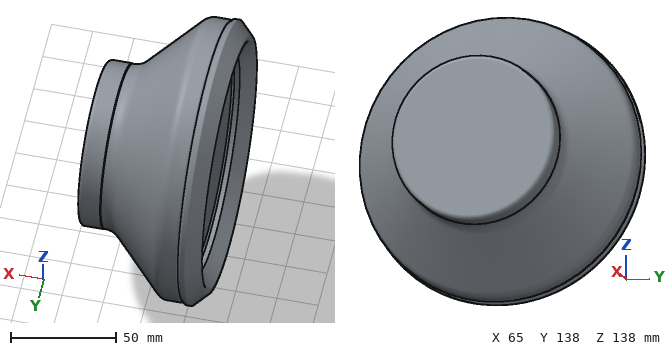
import cadquery as cq
import math


ring_radius = 69.0
ring_front_bevel = 6.6
ring_lip_width = 2.3
ring_inner_bevel = 6.5
ring_land_end = 8.8
ring_depth = 10.2
ring_back_bevel = ring_depth - ring_land_end
ring_edge_round = 0.7
ring_inner_foot = 1.1

housing_end = 65.0
rim_radius = 136.5 / 2
rim_front_fillet = 1.0
rim_end = 17.8
shoulder_radius = 6.6
neck_radius = 79.6 / 2
neck_arc_end = 53.1
step_start = 53.5
collar_start = 54.0
collar_radius = 80.0 / 2
collar_fillet = 2.1
cone_angle = math.radians(45)


def revolve_about_x(profile):
    """Turn a closed XY profile a full turn about the X axis."""
    return profile.close().revolve(360, (0, 0, 0), (1, 0, 0))


def arc_point(center_x, center_r, radius, angle):
    """Point on an arc, with the angle measured from the outward radial direction toward +X."""
    return (center_x + radius * math.sin(angle), center_r + radius * math.cos(angle))


def find_round_edge(body, x, radius):
    """Circular edge of the body around the X axis, chosen by its X place and its radius."""
    tolerance = 0.01
    circles = body.edges("%CIRCLE").vals()
    return next(
        edge for edge in circles
        if abs(edge.startPoint().x - x) < tolerance and abs(edge.radius() - radius) < tolerance
    )


def make_bezel_ring():
    lip_outer = ring_radius - ring_front_bevel
    lip_inner = lip_outer - ring_lip_width
    bore = lip_inner - ring_inner_bevel
    profile = (
        cq.Workplane("XY")
        .moveTo(0, lip_inner)
        .lineTo(0, lip_outer)
        .lineTo(ring_front_bevel, ring_radius)
        .lineTo(ring_land_end, ring_radius)
        .lineTo(ring_depth, ring_radius - ring_back_bevel)
        .lineTo(ring_depth, bore - ring_inner_foot)
        .lineTo(ring_depth - ring_inner_foot, bore)
        .lineTo(ring_inner_bevel, bore)
    )
    rounded_edges = (
        (0, lip_inner),
        (0, lip_outer),
        (ring_front_bevel, ring_radius),
        (ring_land_end, ring_radius),
    )
    ring = revolve_about_x(profile)
    edges = [find_round_edge(ring, x, radius) for x, radius in rounded_edges]
    return ring.newObject([ring.val().fillet(ring_edge_round, edges)])


def make_housing():
    shoulder_center_r = rim_radius - shoulder_radius
    shoulder_mid = arc_point(rim_end, shoulder_center_r, shoulder_radius, cone_angle / 2)
    cone_start = arc_point(rim_end, shoulder_center_r, shoulder_radius, cone_angle)

    cone_line_drop = cone_start[1] - neck_radius
    cone_reach = cone_line_drop / math.tan(cone_angle)
    corner_x = cone_start[0] + cone_reach
    neck_arc_radius = (neck_arc_end - corner_x) / math.tan(cone_angle / 2)
    neck_center_r = neck_radius + neck_arc_radius
    cone_end = arc_point(neck_arc_end, neck_center_r, neck_arc_radius, math.pi + cone_angle)
    neck_mid = arc_point(neck_arc_end, neck_center_r, neck_arc_radius, math.pi + cone_angle / 2)

    rim_fillet_mid = arc_point(
        ring_depth + rim_front_fillet, rim_radius - rim_front_fillet, rim_front_fillet, -math.pi / 4
    )
    collar_fillet_mid = arc_point(
        housing_end - collar_fillet, collar_radius - collar_fillet, collar_fillet, math.pi / 4
    )
    profile = (
        cq.Workplane("XY")
        .moveTo(ring_depth, 0)
        .lineTo(ring_depth, rim_radius - rim_front_fillet)
        .threePointArc(rim_fillet_mid, (ring_depth + rim_front_fillet, rim_radius))
        .lineTo(rim_end, rim_radius)
        .threePointArc(shoulder_mid, cone_start)
        .lineTo(*cone_end)
        .threePointArc(neck_mid, (neck_arc_end, neck_radius))
        .lineTo(step_start, neck_radius)
        .lineTo(collar_start, collar_radius)
        .lineTo(housing_end - collar_fillet, collar_radius)
        .threePointArc(collar_fillet_mid, (housing_end, collar_radius - collar_fillet))
        .lineTo(housing_end, 0)
    )
    return revolve_about_x(profile)


bezel_ring = make_bezel_ring()
housing = make_housing()

result = cq.Compound.makeCompound([bezel_ring.val(), housing.val()])